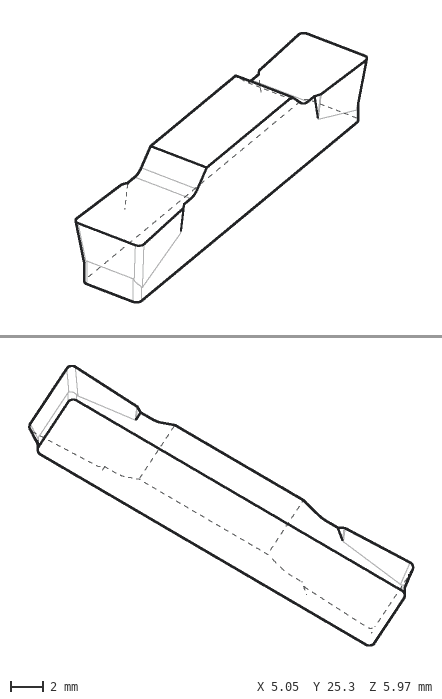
import cadquery as cq
import math

LENGTH = 25.3
TIP_WIDTH = 5.05
HEIGHT = 5.97

BODY_WIDTH = 4.22
BODY_LENGTH = 24.58
SEAT_HEIGHT = 4.63
RIDGE_LENGTH = 9.4
RIDGE_ANGLE = 45.0
RIDGE_BLEND_RADIUS = 1.0
CORNER_RADIUS = 0.38

SHOULDER_Y = 7.59
SHOULDER_RADIUS = 0.15
NECK_Y = 7.2
SIDE_TAPER = 2.5
SIDE_RELIEF = 6.2
END_RELIEF = 7.0
HEAD_DEPTH = 4.38

PICK_MARGIN = 0.03


def make_body():
    """Straight body with a raised ridge in the middle."""
    half_body = BODY_LENGTH / 2
    ridge_top = RIDGE_LENGTH / 2
    ridge_foot = ridge_top + (HEIGHT - SEAT_HEIGHT) / math.tan(math.radians(RIDGE_ANGLE))
    outline = [
        (-half_body, 0),
        (half_body, 0),
        (half_body, SEAT_HEIGHT),
        (ridge_foot, SEAT_HEIGHT),
        (ridge_top, HEIGHT),
        (-ridge_top, HEIGHT),
        (-ridge_foot, SEAT_HEIGHT),
        (-half_body, SEAT_HEIGHT),
    ]
    body = cq.Workplane("YZ").polyline(outline).close().extrude(BODY_WIDTH / 2, both=True)
    body = body.edges("|Z").fillet(CORNER_RADIUS)
    foot_edges = cq.selectors.BoxSelector(
        (-BODY_WIDTH, -ridge_foot - PICK_MARGIN, SEAT_HEIGHT - PICK_MARGIN),
        (BODY_WIDTH, ridge_foot + PICK_MARGIN, SEAT_HEIGHT + PICK_MARGIN),
    )
    return body.edges("|X").edges(foot_edges).fillet(RIDGE_BLEND_RADIUS)


def head_section(depth):
    """Corner points of the +Y head at a depth below its top."""
    taper = math.tan(math.radians(SIDE_TAPER))
    inset = depth * math.tan(math.radians(SIDE_RELIEF))
    end_y = LENGTH / 2 - depth * math.tan(math.radians(END_RELIEF))
    widest_y = LENGTH / 2 - CORNER_RADIUS
    end_x = TIP_WIDTH / 2 - inset + (end_y - widest_y) * taper
    shoulder_x = TIP_WIDTH / 2 - inset + (SHOULDER_Y - widest_y) * taper
    top_shoulder_x = TIP_WIDTH / 2 + (SHOULDER_Y - widest_y) * taper
    ramp_slope = (SHOULDER_Y - NECK_Y) / (top_shoulder_x - BODY_WIDTH / 2)
    center_y = SHOULDER_Y - shoulder_x * ramp_slope
    return [(0, center_y), (shoulder_x, SHOULDER_Y), (end_x, end_y),
            (-end_x, end_y), (-shoulder_x, SHOULDER_Y)]


def make_head():
    """Tapered cutting head at the +Y end."""
    head = (
        cq.Workplane("XY", origin=(0, 0, SEAT_HEIGHT))
        .polyline(head_section(0)).close()
        .workplane(offset=-HEAD_DEPTH)
        .polyline(head_section(HEAD_DEPTH)).close()
        .loft(ruled=True)
    )
    head = head.faces(">Y").edges("not |X").fillet(CORNER_RADIUS)
    shoulder_edges = cq.selectors.BoxSelector(
        (-TIP_WIDTH, SHOULDER_Y - PICK_MARGIN, 0),
        (TIP_WIDTH, SHOULDER_Y + PICK_MARGIN, SEAT_HEIGHT - PICK_MARGIN),
    )
    return head.edges(shoulder_edges).fillet(SHOULDER_RADIUS)


head = make_head()
result = make_body().union(head).union(head.mirror("XZ")).clean()